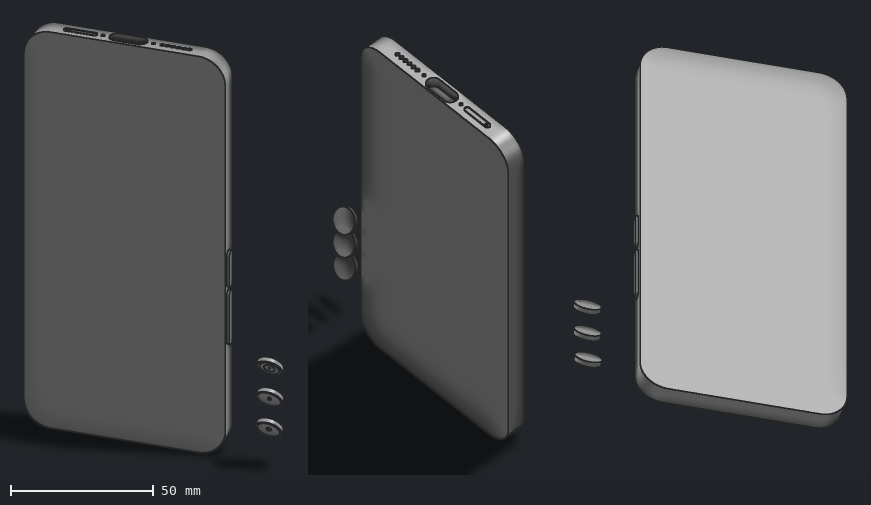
import cadquery as cq

height = 156.7
width = 75.0
thickness = 7.8
corner_radius = 10.0
top_z = height / 2
mid_y = thickness / 2

port_length = 14.0
port_width = 5.6
port_depth = 4.7
port_shift = 0.3
port_y = mid_y + port_shift

mic_diameter = 1.3
mic_depth = 1.5
mic_x = 9.4

tray_length = 12.4
tray_width = 2.0
tray_depth = 0.3
tray_x = -17.7
eject_diameter = 1.0
eject_depth = 1.5
eject_x = -22.3

speaker_count = 6
speaker_diameter = 1.5
speaker_depth = 1.5
speaker_pitch = 2.0
speaker_first_x = 12.7

button_width = 3.9
button_rise = 1.0
button_y = 3.5
power_length = 14.3
power_z = -5.3
volume_length = 21.5
volume_z = -24.5

lens_diameter = 10.0
lens_thickness = 2.0
lens_tilt = 30.0
lens_offset = 17.0
lens_x = width / 2 + lens_offset
lens_y = -1.0
lens_pitch = 12.0
first_lens_z = -39.3
low_lens_shift = -0.24

ringed_steps = [(9.1, 0.3), (7.2, 0.39), (4.0, 0.5), (0.5, 0.6)]
small_pupil_steps = [(8.8, 0.3), (1.3, 0.6)]
large_pupil_steps = [(8.5, 0.3), (1.7, 0.6)]
lens_specs = [
    (lens_x, ringed_steps),
    (lens_x, small_pupil_steps),
    (lens_x + low_lens_shift, large_pupil_steps),
]


def top_plane(x, y=mid_y):
    """Work plane on the top edge of the phone, normal +Z."""
    return cq.Workplane("XY", origin=(x, y, top_z))


def top_hole(x, diameter, depth):
    return top_plane(x).circle(diameter / 2).extrude(-depth)


def button(z, length):
    """Round-ended bar standing out of the +X edge."""
    plane = cq.Workplane("YZ", origin=(width / 2, button_y, z))
    return plane.slot2D(length, button_width, 90).extrude(button_rise)


def make_phone():
    phone = cq.Workplane("XZ").rect(width, height).extrude(-thickness)
    phone = phone.edges("|Y").fillet(corner_radius)

    phone = phone.union(button(power_z, power_length))
    phone = phone.union(button(volume_z, volume_length))

    phone = phone.cut(top_plane(0, port_y).slot2D(port_length, port_width).extrude(-port_depth))

    for x in (-mic_x, mic_x):
        phone = phone.cut(top_hole(x, mic_diameter, mic_depth))

    phone = phone.cut(top_plane(tray_x).slot2D(tray_length, tray_width).extrude(-tray_depth))
    phone = phone.cut(top_hole(eject_x, eject_diameter, eject_depth))

    for i in range(speaker_count):
        phone = phone.cut(top_hole(speaker_first_x + i * speaker_pitch, speaker_diameter, speaker_depth))
    return phone


def make_lens(x, z, steps):
    """Disc with stepped circular recesses, built facing -Y and then tilted to look downward."""
    lens = cq.Workplane("XZ", origin=(0, lens_thickness / 2, 0)).circle(lens_diameter / 2)
    lens = lens.extrude(lens_thickness)
    face = cq.Workplane("XZ", origin=(0, -lens_thickness / 2, 0))
    for diameter, depth in steps:
        lens = lens.cut(face.circle(diameter / 2).extrude(-depth))
    return lens.rotate((0, 0, 0), (1, 0, 0), lens_tilt).translate((x, lens_y, z))


phone = make_phone()
lenses = [
    make_lens(x, first_lens_z - i * lens_pitch, steps)
    for i, (x, steps) in enumerate(lens_specs)
]

result = cq.Compound.makeCompound([phone.val(), *[lens.val() for lens in lenses]])